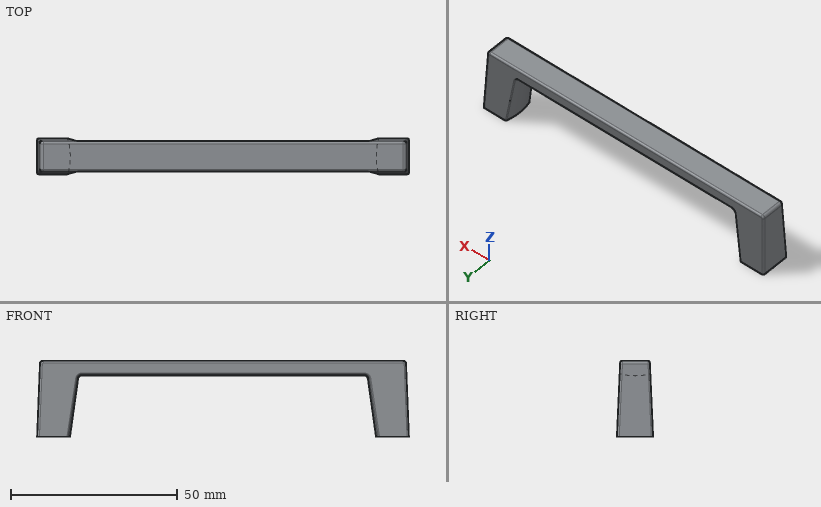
import cadquery as cq
import math

length = 112.0
base_width = 11.0
height = 23.0

end_inset = 0.9
side_inset = 1.0

foot_length = 10.0
leg_length_at_grip = 12.5
opening_height = 18.5
corner_radius = 1.1

crown_radius = 20.2
crown_tool_depth = 0.6

end_edge_radius = 1.0
long_edge_radius = 0.7
inner_edge_radius = 0.3

tool_overlap = 1.1
wall_slope = (leg_length_at_grip - foot_length) / opening_height
foot_inner_x = length / 2 - foot_length
grip_inner_x = length / 2 - leg_length_at_grip
start_x = foot_inner_x + wall_slope * tool_overlap


def drafted_block():
    """Solid block with all four outer faces leaning inward, edges rounded."""
    block = (
        cq.Workplane("XY")
        .rect(length, base_width)
        .workplane(offset=height)
        .rect(length - 2 * end_inset, base_width - 2 * side_inset)
        .loft(ruled=True)
    )
    block = block.faces(">Z").edges("|Y").fillet(end_edge_radius)
    return block.edges("not(|Y or <Z)").fillet(long_edge_radius)


def opening_outline():
    """Open path up one leg, along the grip and down the other leg."""
    wall_length = math.hypot(wall_slope, 1.0)
    corner_angle = math.pi / 2 + math.atan(wall_slope)
    setback = corner_radius / math.tan(corner_angle / 2)
    dx = setback * wall_slope / wall_length
    dz = setback / wall_length
    center_x = grip_inner_x - setback
    center_z = opening_height - corner_radius
    bisector = math.hypot(setback, corner_radius)
    mid_x = center_x + corner_radius * (grip_inner_x - center_x) / bisector
    mid_z = center_z + corner_radius * (opening_height - center_z) / bisector
    return (
        cq.Workplane("XZ")
        .moveTo(-start_x, -tool_overlap)
        .lineTo(-grip_inner_x - dx, opening_height - dz)
        .threePointArc((-mid_x, mid_z), (-center_x, opening_height))
        .lineTo(center_x, opening_height)
        .threePointArc((mid_x, mid_z), (grip_inner_x + dx, opening_height - dz))
        .lineTo(start_x, -tool_overlap)
    )


def crown_tool():
    """Cutter that follows the opening and leaves its walls convex across Y."""
    half_width = base_width / 2 + tool_overlap
    drop = crown_radius - math.sqrt(crown_radius**2 - half_width**2)
    plane = cq.Plane(
        origin=(-start_x, 0, -tool_overlap),
        xDir=(-1, 0, wall_slope),
        normal=(wall_slope, 0, 1),
    )
    profile = (
        cq.Workplane(plane)
        .moveTo(-crown_tool_depth, -half_width)
        .lineTo(drop, -half_width)
        .threePointArc((0, 0), (drop, half_width))
        .lineTo(-crown_tool_depth, half_width)
        .close()
    )
    return profile.sweep(opening_outline())


def opening():
    core = opening_outline().close().extrude(base_width, both=True)
    return core.union(crown_tool())


def soften_inner_outline(handle):
    """Round where the opening meets both long sides, leaving the base sharp."""
    inner_zone = cq.selectors.BoxSelector(
        (-length / 2 + leg_length_at_grip / 2, -base_width, -tool_overlap),
        (length / 2 - leg_length_at_grip / 2, base_width, (height + opening_height) / 2),
    )
    inner_edges = handle.edges(inner_zone).edges("not(|Y or <Z)")
    return inner_edges.fillet(inner_edge_radius)


result = soften_inner_outline(drafted_block().cut(opening()))